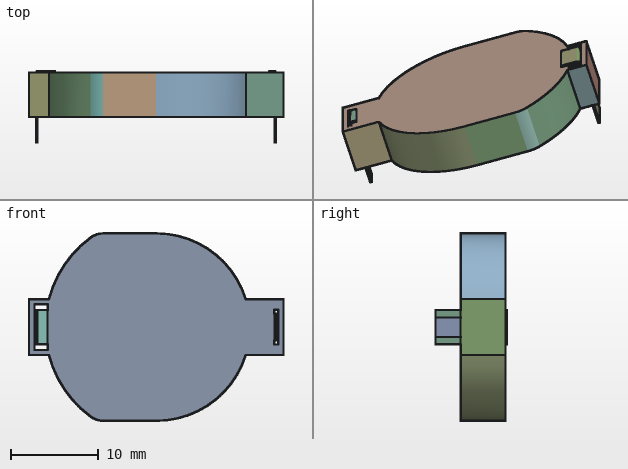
import cadquery as cq
import math


overall_length = 28.95
housing_depth = 5.1
housing_height = 21.35
left_arc_radius = 12.63
corner_radius = 2.43
ear_height = 6.37

half_length = overall_length / 2
half_height = housing_height / 2

strip_thickness = 0.17
inner_bend_radius = 0.1
outer_bend_radius = inner_bend_radius + strip_thickness
foot_tip_radius = 0.15
leg_projection = 2.87

left_leg_offset = 0.8
left_foot_length = 2.17
left_strip_width = 3.95

right_leg_offset = 0.87
right_foot_length = 0.78
right_strip_width = 3.07
right_leg_width = 2.2
right_shoulder_depth = housing_depth / 2

left_passage_wall = 0.65
right_passage_wall = 0.6
left_passage_length = 1.48
left_passage_height = 5.15
right_passage_height = 3.95

leg_end_y = -housing_depth - leg_projection
left_leg_x = -half_length + left_leg_offset
right_leg_x = half_length - right_leg_offset
right_passage_length = right_leg_offset + strip_thickness - right_passage_wall


def block(x_start, x_end, y_start, y_end, height):
    """Box between the given X and Y limits, centred on Z = 0."""
    return (
        cq.Workplane("XY")
        .box(x_end - x_start, y_end - y_start, height)
        .translate(((x_start + x_end) / 2, (y_start + y_end) / 2, 0))
    )


def make_housing():
    """Rounded cell body with an ear and a leg passage at each end."""
    left_corner_x = -math.sqrt(left_arc_radius**2 - half_height**2)
    body = (
        cq.Workplane("XZ")
        .moveTo(0, half_height)
        .threePointArc((half_height, 0), (0, -half_height))
        .lineTo(left_corner_x, -half_height)
        .threePointArc((-left_arc_radius, 0), (left_corner_x, half_height))
        .close()
        .extrude(housing_depth)
        .edges("|Y")
        .edges("<X")
        .fillet(corner_radius)
    )
    ears = block(-half_length, half_length, -housing_depth, 0, ear_height)

    left_start = -half_length + left_passage_wall
    left_passage = block(
        left_start, left_start + left_passage_length, -housing_depth, 0, left_passage_height
    )
    right_end = half_length - right_passage_wall
    right_passage = block(
        right_end - right_passage_length, right_end, -housing_depth, 0, right_passage_height
    )
    return body.union(ears).cut(left_passage).cut(right_passage)


def make_contact(leg_x, inward, foot_length, width):
    """Bent strip: a foot on the back face and a leg through the housing.

    leg_x is the leg's outer face; inward is +1 or -1, the X direction of the foot.
    """
    leg_inner_x = leg_x + inward * strip_thickness
    foot_end_x = leg_x + inward * foot_length
    bend_x = leg_x + inward * outer_bend_radius
    bend_y = strip_thickness - outer_bend_radius
    tip_x = foot_end_x - inward * foot_tip_radius
    tip_y = strip_thickness - foot_tip_radius
    diagonal = math.sqrt(0.5)

    def bend_middle(radius):
        return (bend_x - inward * radius * diagonal, bend_y + radius * diagonal)

    tip_middle = (
        tip_x + inward * foot_tip_radius * diagonal,
        tip_y + foot_tip_radius * diagonal,
    )
    return (
        cq.Workplane("XY")
        .moveTo(leg_x, leg_end_y)
        .lineTo(leg_x, bend_y)
        .threePointArc(bend_middle(outer_bend_radius), (bend_x, strip_thickness))
        .lineTo(tip_x, strip_thickness)
        .threePointArc(tip_middle, (foot_end_x, tip_y))
        .lineTo(foot_end_x, 0)
        .lineTo(bend_x, 0)
        .threePointArc(bend_middle(inner_bend_radius), (leg_inner_x, bend_y))
        .lineTo(leg_inner_x, leg_end_y)
        .close()
        .extrude(width / 2, both=True)
    )


def narrow_right_leg(contact):
    """Trim both edges of the right leg from its shoulders to its tip."""
    leg_start = right_leg_x - strip_thickness
    full_leg = block(leg_start, right_leg_x, leg_end_y, -right_shoulder_depth, right_strip_width)
    narrow_leg = block(leg_start, right_leg_x, leg_end_y, -right_shoulder_depth, right_leg_width)
    return contact.cut(full_leg.cut(narrow_leg))


left_contact = make_contact(left_leg_x, 1, left_foot_length, left_strip_width).solids()
right_contact = narrow_right_leg(
    make_contact(right_leg_x, -1, right_foot_length, right_strip_width)
).solids()

housing = make_housing().cut(right_contact).solids()

result = cq.Compound.makeCompound([housing.val(), left_contact.val(), right_contact.val()])